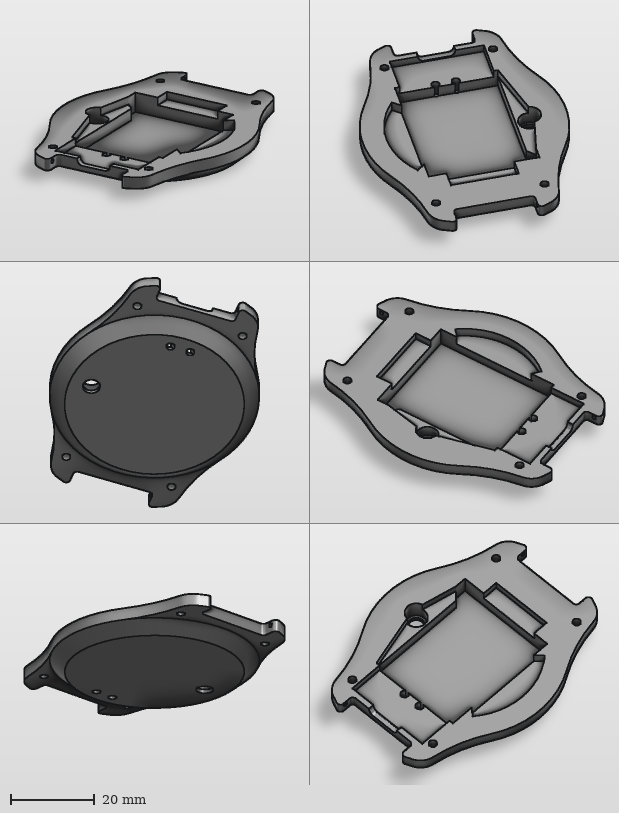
import cadquery as cq
import math

PLATE_THICKNESS = 3.0
DISH_HEIGHT = 3.0
TOP_Z = DISH_HEIGHT + PLATE_THICKNESS
CASE_RADIUS = 25.0
DISH_DRAFT_ANGLE = 50.0

WAIST_RADIUS = 40.0
WAIST_START_Y = 12.87
LUG_ARC_START_Y = 27.38
LUG_RADIUS = 5.1
LUG_ARC_END_Y = 31.42
LUG_TIP_Y = 32.63
STRAP_GAP_HALF_WIDTH = 10.0
STRAP_EDGE_Y = 28.0
LUG_FILLET = 1.0

SCREW_DIAMETER = 2.0
SCREW_X = 13.36
SCREW_Y = 24.65

BAR_DIAMETER = 1.0
BAR_Y = 30.4
BAR_BELOW_TOP = 1.0
BAR_DEPTH = 2.0

FLOOR_THICKNESS = 1.0
MAIN_DEPTH = TOP_Z - FLOOR_THICKNESS
MAIN_LEFT = -12.62
MAIN_RIGHT = 12.72
MAIN_TOP = 15.2
MAIN_BOTTOM = -17.1
CORNER_LEFT = -14.55
CORNER_LOW_Y = 12.1
CORNER_CHAMFER = MAIN_LEFT - CORNER_LEFT

LEDGE_DEPTH = 2.0
UPPER_LEDGE_HALF_WIDTH = 8.36
UPPER_LEDGE_TOP = 19.5
LOWER_LEDGE_HALF_WIDTH = 11.6
LOWER_LEDGE_BOTTOM = -26.45
SIDE_LEDGE_X = -17.15

SECTOR_RADIUS = 19.2
SECTOR_HALF_ANGLE = 40.0
SECTOR_DEPTH = 2.5

BUTTON_X = -16.0
BUTTON_DIAMETER = 5.5
BUTTON_BORE_DIAMETER = 4.1

CONTACT_X = 2.5
CONTACT_Y = -18.0
CONTACT_DIAMETER = 2.0

NOTCH_HALF_WIDTH = 4.6
NOTCH_DEPTH = 1.6
NOTCH_FILLET = 1.5


def polar(center, radius, angle):
    """Point at an angle, in radians, on a circle."""
    return (center[0] + radius * math.cos(angle), center[1] + radius * math.sin(angle))


def make_quarter():
    """The +X +Y quarter of the plate: case arc, waist arc and lug arc run tangent into each other."""
    origin = (0, 0)
    case_angle = math.asin(WAIST_START_Y / CASE_RADIUS)
    waist_center = polar(origin, CASE_RADIUS + WAIST_RADIUS, case_angle)
    waist_start_angle = math.pi + case_angle
    waist_end_angle = math.pi + math.asin((waist_center[1] - LUG_ARC_START_Y) / WAIST_RADIUS)
    waist_mid_angle = (waist_start_angle + waist_end_angle) / 2

    lug_center = polar(waist_center, WAIST_RADIUS + LUG_RADIUS, waist_end_angle)
    lug_start_angle = waist_end_angle - math.pi
    lug_end_angle = math.asin((LUG_ARC_END_Y - lug_center[1]) / LUG_RADIUS)
    lug_mid_angle = (lug_start_angle + lug_end_angle) / 2

    lug_inner_x = STRAP_GAP_HALF_WIDTH
    quarter = (
        cq.Workplane("XY", origin=(0, 0, DISH_HEIGHT))
        .moveTo(*origin)
        .lineTo(CASE_RADIUS, 0)
        .threePointArc(
            polar(origin, CASE_RADIUS, case_angle / 2),
            polar(origin, CASE_RADIUS, case_angle),
        )
        .threePointArc(
            polar(waist_center, WAIST_RADIUS, waist_mid_angle),
            polar(waist_center, WAIST_RADIUS, waist_end_angle),
        )
        .threePointArc(
            polar(lug_center, LUG_RADIUS, lug_mid_angle),
            polar(lug_center, LUG_RADIUS, lug_end_angle),
        )
        .lineTo(lug_inner_x, LUG_TIP_Y)
        .lineTo(lug_inner_x, STRAP_EDGE_Y)
        .lineTo(0, STRAP_EDGE_Y)
        .close()
        .extrude(PLATE_THICKNESS)
    )
    inner_wall = cq.selectors.BoxSelector(
        (lug_inner_x - LUG_FILLET, STRAP_EDGE_Y - LUG_FILLET, 0),
        (lug_inner_x + LUG_FILLET, LUG_TIP_Y + LUG_FILLET, TOP_Z),
    )
    return quarter.edges("|Z").edges(inner_wall).fillet(LUG_FILLET)


def make_body():
    """Symmetric plate joined to the conical dish below it."""
    quarter = make_quarter()
    half = quarter.union(quarter.mirror("YZ"))
    plate = half.union(half.mirror("XZ"))
    dish = (
        cq.Workplane("XY", origin=(0, 0, DISH_HEIGHT))
        .circle(CASE_RADIUS)
        .extrude(-DISH_HEIGHT, taper=DISH_DRAFT_ANGLE)
    )
    return plate.union(dish).clean()


def top_pocket(points, depth):
    """Polygonal cutter that reaches down from the top face."""
    return cq.Workplane("XY", origin=(0, 0, TOP_Z)).polyline(points).close().extrude(-depth)


def top_rectangle(left, right, bottom, top, depth):
    """Rectangular cutter that reaches down from the top face."""
    return top_pocket([(left, bottom), (right, bottom), (right, top), (left, top)], depth)


def top_holes(places, diameter, depth=TOP_Z):
    """Round cutters that reach down from the top face, right through unless a depth is given."""
    return (
        cq.Workplane("XY", origin=(0, 0, TOP_Z))
        .pushPoints(places)
        .circle(diameter / 2)
        .extrude(-depth)
    )


def main_pocket():
    """Deep pocket, widened on the left of its upper end."""
    outline = [
        (MAIN_LEFT, MAIN_BOTTOM),
        (MAIN_RIGHT, MAIN_BOTTOM),
        (MAIN_RIGHT, MAIN_TOP),
        (CORNER_LEFT, MAIN_TOP),
        (CORNER_LEFT, CORNER_LOW_Y),
        (MAIN_LEFT, CORNER_LOW_Y - CORNER_CHAMFER),
    ]
    return top_pocket(outline, MAIN_DEPTH)


def ledges():
    """Shallow ledges above, below and to the left of the main pocket."""
    upper = top_rectangle(
        -UPPER_LEDGE_HALF_WIDTH, UPPER_LEDGE_HALF_WIDTH, 0, UPPER_LEDGE_TOP, LEDGE_DEPTH
    )
    lower = top_rectangle(
        -LOWER_LEDGE_HALF_WIDTH, LOWER_LEDGE_HALF_WIDTH, LOWER_LEDGE_BOTTOM, 0, LEDGE_DEPTH
    )
    left_outline = [
        (MAIN_LEFT, MAIN_BOTTOM),
        (SIDE_LEDGE_X, 0),
        (CORNER_LEFT, CORNER_LOW_Y),
        (0, CORNER_LOW_Y),
        (0, MAIN_BOTTOM),
    ]
    return upper.union(lower).union(top_pocket(left_outline, LEDGE_DEPTH))


def sector_pocket():
    """Circular sector about the case centre, opening into the main pocket."""
    half_angle = math.radians(SECTOR_HALF_ANGLE)
    return (
        cq.Workplane("XY", origin=(0, 0, TOP_Z))
        .moveTo(0, 0)
        .lineTo(*polar((0, 0), SECTOR_RADIUS, -half_angle))
        .threePointArc((SECTOR_RADIUS, 0), polar((0, 0), SECTOR_RADIUS, half_angle))
        .close()
        .extrude(-SECTOR_DEPTH)
    )


def button_hole():
    """Through hole with a wide counterbore from the top."""
    place = [(BUTTON_X, 0)]
    counterbore = top_holes(place, BUTTON_DIAMETER, MAIN_DEPTH)
    return counterbore.union(top_holes(place, BUTTON_BORE_DIAMETER))


def small_holes():
    """Four screw holes and two contact holes."""
    screw_places = [(x, y) for x in (-SCREW_X, SCREW_X) for y in (-SCREW_Y, SCREW_Y)]
    contact_places = [(-CONTACT_X, CONTACT_Y), (CONTACT_X, CONTACT_Y)]
    return top_holes(screw_places, SCREW_DIAMETER).union(top_holes(contact_places, CONTACT_DIAMETER))


def spring_bar_holes():
    """Blind holes along X in the inner faces of the four lugs."""
    reach = STRAP_GAP_HALF_WIDTH + BAR_DEPTH
    return (
        cq.Workplane("YZ")
        .pushPoints([(y, TOP_Z - BAR_BELOW_TOP) for y in (-BAR_Y, BAR_Y)])
        .circle(BAR_DIAMETER / 2)
        .extrude(reach, both=True)
    )


def connector_notch():
    """Notch with rounded bottom corners, from the lower ledge out through the strap edge."""
    length = STRAP_EDGE_Y + LOWER_LEDGE_BOTTOM
    return (
        cq.Workplane("XY")
        .box(2 * NOTCH_HALF_WIDTH, length, NOTCH_DEPTH, centered=(True, False, False))
        .edges("|Y and <Z")
        .fillet(NOTCH_FILLET)
        .translate((0, -STRAP_EDGE_Y, TOP_Z - NOTCH_DEPTH))
    )


result = make_body()
for cutter in (
    main_pocket(),
    ledges(),
    sector_pocket(),
    button_hole(),
    small_holes(),
    spring_bar_holes(),
    connector_notch(),
):
    result = result.cut(cutter)